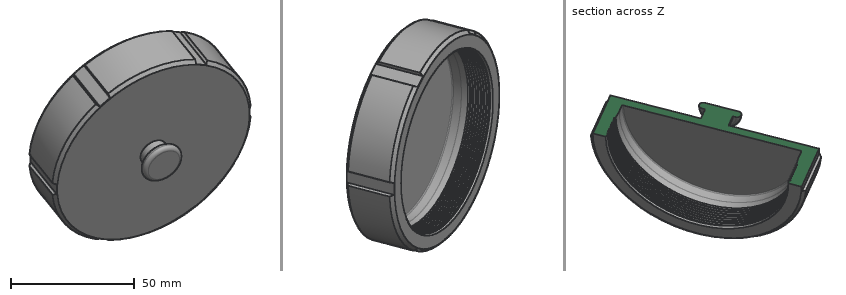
import cadquery as cq
import math

body_diameter = 92.0
body_length = 22.0
body_chamfer = 1.5

mouth_diameter = 78.0
mouth_taper_length = 1.0
thread_bore_diameter = 77.0
inner_bore_diameter = 76.4
inner_bore_start = 14.2
bore_depth = 18.3
floor_fillet = 0.4

groove_count = 8
groove_pitch = 1.25
groove_width = 1.0
groove_depth = 0.6
groove_lead_in = 0.45

slot_count = 6
slot_mouth_width = 6.5
slot_floor_width = 5.4
slot_floor_radius = 44.6
slot_cut_clearance = 1.0

neck_diameter = 12.0
neck_length = 5.0
knob_diameter = 18.0
knob_thickness = 3.5


def revolve_about_x(profile):
    """Turn a closed XY profile, with Y as the radius, into a solid about the X axis."""
    return profile.close().revolve(360, (0, 0, 0), (1, 0, 0))


def cylinder_along_x(start, length, diameter):
    return cq.Workplane("YZ", origin=(start, 0, 0)).circle(diameter / 2).extrude(length)


def make_body():
    return cylinder_along_x(0, body_length, body_diameter).edges("%CIRCLE").chamfer(body_chamfer)


def make_bore():
    thread_radius = thread_bore_diameter / 2
    profile = (
        cq.Workplane("XY")
        .lineTo(0, mouth_diameter / 2)
        .lineTo(mouth_taper_length, thread_radius)
    )
    for i in range(groove_count):
        start = mouth_taper_length + groove_lead_in + i * groove_pitch
        profile = (
            profile.lineTo(start, thread_radius)
            .lineTo(start + groove_width / 2, thread_radius + groove_depth)
            .lineTo(start + groove_width, thread_radius)
        )
    inner_radius = inner_bore_diameter / 2
    profile = (
        profile.lineTo(inner_bore_start, inner_radius)
        .lineTo(bore_depth - floor_fillet, inner_radius)
        .radiusArc((bore_depth, inner_radius - floor_fillet), floor_fillet)
        .lineTo(bore_depth, 0)
    )
    return revolve_about_x(profile)


def make_slot():
    """Tapered wrench slot on the +Y side of the rim, running the full body length."""
    body_radius = body_diameter / 2
    mouth_radius = math.sqrt(body_radius**2 - (slot_mouth_width / 2) ** 2)
    taper = (slot_mouth_width - slot_floor_width) / (mouth_radius - slot_floor_radius)
    clear_radius = body_radius + slot_cut_clearance
    clear_width = slot_floor_width + taper * (clear_radius - slot_floor_radius)
    return (
        cq.Workplane("YZ")
        .moveTo(slot_floor_radius, -slot_floor_width / 2)
        .lineTo(clear_radius, -clear_width / 2)
        .lineTo(clear_radius, clear_width / 2)
        .lineTo(slot_floor_radius, slot_floor_width / 2)
        .close()
        .extrude(body_length)
    )


def make_knob():
    neck = cylinder_along_x(body_length, neck_length, neck_diameter)
    head_start = body_length + neck_length
    head_end = head_start + knob_thickness
    rim_radius = knob_thickness / 2
    straight_radius = knob_diameter / 2 - rim_radius
    head = revolve_about_x(
        cq.Workplane("XY")
        .moveTo(head_start, 0)
        .lineTo(head_start, straight_radius)
        .radiusArc((head_start + rim_radius, knob_diameter / 2), rim_radius)
        .radiusArc((head_end, straight_radius), rim_radius)
        .lineTo(head_end, 0)
    )
    return neck.union(head)


result = make_body().cut(make_bore())
for i in range(slot_count):
    result = result.cut(make_slot().rotate((0, 0, 0), (1, 0, 0), i * 360 / slot_count))
result = result.union(make_knob())